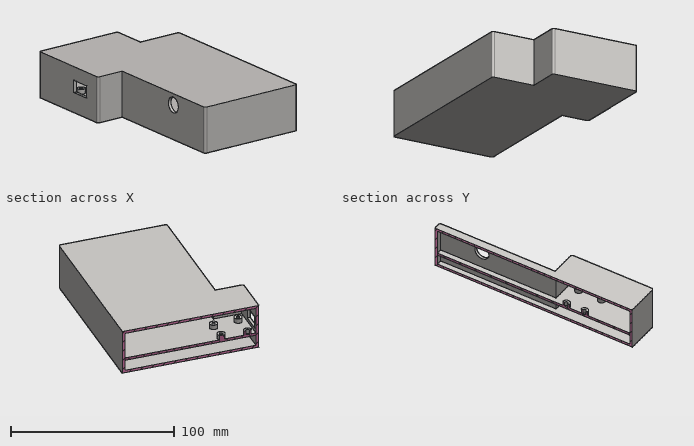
import cadquery as cq

LENGTH = 143.9
WIDTH = 89.4
HEIGHT = 30.0
WALL = 2.0
CORNER_RADIUS = 1.5
MAIN_LEFT = 23.3
MAIN_FRONT = 18.5
BLOCK_RIGHT = 59.7
BLOCK_BACK = 60.0

WINDOW_X = 41.5
WINDOW_WIDTH = 13.0
WINDOW_HEIGHT = 7.9
WINDOW_BOTTOM = 13.1

ROUND_X = 111.8
ROUND_Z = 22.6
ROUND_DIAMETER = 10.1

TRAY_TOP = 10.8
TRAY_THICKNESS = WALL
POST_DIAMETER = 5.0
POST_BORE = 2.0
POST_HEIGHT = 3.0
FRONT_POST_Y = 7.3
FRONT_POST_SPACING = 16.7
BACK_POST_SPACING = 13.2
POST_ROW_PITCH = FRONT_POST_SPACING


def stepped_prism(inset, bottom, top):
    """Stepped outline moved inward by inset, extruded from bottom to top."""
    left = inset
    right = LENGTH - inset
    front = inset
    back = WIDTH - inset
    outline = [
        (left, front),
        (BLOCK_RIGHT - inset, front),
        (BLOCK_RIGHT - inset, MAIN_FRONT + inset),
        (right, MAIN_FRONT + inset),
        (right, back),
        (MAIN_LEFT + inset, back),
        (MAIN_LEFT + inset, BLOCK_BACK - inset),
        (left, BLOCK_BACK - inset),
    ]
    return cq.Workplane("XY").workplane(offset=bottom).polyline(outline).close().extrude(top - bottom)


def port_window():
    """Cutter for the rectangular window through the port block's front wall."""
    cutter = cq.Workplane("XY").box(WINDOW_WIDTH, WALL, WINDOW_HEIGHT, centered=(True, False, False))
    return cutter.translate((WINDOW_X, 0, WINDOW_BOTTOM))


def round_opening():
    """Cutter for the round opening through the main box's front wall."""
    face = cq.Plane(origin=(ROUND_X, MAIN_FRONT, ROUND_Z), xDir=(1, 0, 0), normal=(0, 1, 0))
    return cq.Workplane(face).circle(ROUND_DIAMETER / 2).extrude(WALL)


def make_housing():
    """Closed shell of even wall thickness with its outer vertical corners rounded."""
    block = stepped_prism(0, 0, HEIGHT)
    vertical_edges = cq.selectors.ParallelDirSelector(cq.Vector(0, 0, 1))
    inner_corners = cq.selectors.BoxSelector(
        (MAIN_LEFT - WALL, MAIN_FRONT - WALL, 0),
        (BLOCK_RIGHT + WALL, BLOCK_BACK + WALL, HEIGHT),
    )
    outer_corners = cq.selectors.SubtractSelector(vertical_edges, inner_corners)
    rounded_block = block.edges(outer_corners).fillet(CORNER_RADIUS)
    cavity = stepped_prism(WALL, WALL, HEIGHT - WALL)
    return rounded_block.cut(cavity).cut(port_window()).cut(round_opening())


def post_centers():
    """Two rows of posts, each row centered on the port window."""
    rows = [
        (FRONT_POST_Y, FRONT_POST_SPACING),
        (FRONT_POST_Y + POST_ROW_PITCH, BACK_POST_SPACING),
    ]
    return [(WINDOW_X + side * spacing / 2, y) for y, spacing in rows for side in (-1, 1)]


def make_tray():
    """Flat tray filling the housing's cavity in plan, with four hollow posts on top."""
    plate = stepped_prism(WALL, TRAY_TOP - TRAY_THICKNESS, TRAY_TOP)
    top = cq.Workplane("XY").workplane(offset=TRAY_TOP).pushPoints(post_centers())
    posts = top.circle(POST_DIAMETER / 2).extrude(POST_HEIGHT)
    bores = top.circle(POST_BORE / 2).extrude(POST_HEIGHT)
    return plate.union(posts).cut(bores)


housing = make_housing()
tray = make_tray()
result = cq.Compound.makeCompound([housing.val(), tray.val()])